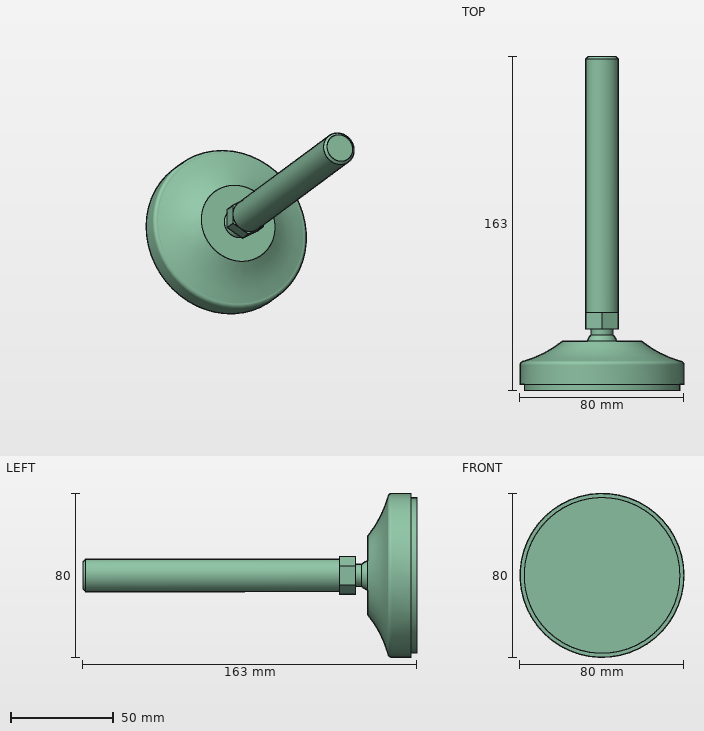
import cadquery as cq
import math

total_length = 163.0

pad_diameter = 76.0
pad_height = 3.0
plate_diameter = 80.0
rim_top = 12.4
rim_rounding = 2.0
plate_top = 24.1
crown_diameter = 38.5
flank_mid_radius = 27.0
flank_mid_height = 18.9

ball_exposed_diameter = 14.5
neck_diameter = 11.0
neck_start = 27.0

hex_start = 30.0
hex_length = 8.0
spindle_diameter = 16.0
spindle_chamfer = 1.3

pad_radius = pad_diameter / 2
plate_radius = plate_diameter / 2
crown_radius = crown_diameter / 2
neck_radius = neck_diameter / 2
ball_exposed_radius = ball_exposed_diameter / 2
hex_end = hex_start + hex_length

ball_center = (
    neck_start**2 + neck_radius**2 - plate_top**2 - ball_exposed_radius**2
) / (2 * (neck_start - plate_top))
ball_radius = math.hypot(neck_radius, neck_start - ball_center)


def make_foot():
    """Revolve the pad, the hollow-flanked plate, the ball cap and the neck."""
    diagonal = rim_rounding * math.cos(math.radians(45))
    rounding_center = (plate_radius - rim_rounding, rim_top)
    rounding_mid = (rounding_center[0] + diagonal, rounding_center[1] + diagonal)
    rounding_end = (rounding_center[0], rim_top + rim_rounding)

    ball_angle = (
        math.atan2(plate_top - ball_center, ball_exposed_radius)
        + math.atan2(neck_start - ball_center, neck_radius)
    ) / 2
    ball_mid = (
        ball_radius * math.cos(ball_angle),
        ball_center + ball_radius * math.sin(ball_angle),
    )
    return (
        cq.Workplane("XY")
        .lineTo(pad_radius, 0)
        .lineTo(pad_radius, pad_height)
        .lineTo(plate_radius, pad_height)
        .lineTo(plate_radius, rim_top)
        .threePointArc(rounding_mid, rounding_end)
        .threePointArc((flank_mid_radius, flank_mid_height), (crown_radius, plate_top))
        .lineTo(ball_exposed_radius, plate_top)
        .threePointArc(ball_mid, (neck_radius, neck_start))
        .lineTo(neck_radius, hex_start)
        .lineTo(0, hex_start)
        .close()
        .revolve(360, (0, 0, 0), (0, 1, 0))
    )


def make_hexagon():
    """Wrench hexagon with flats facing X; its flats match the spindle diameter."""
    corner_diameter = spindle_diameter / math.cos(math.radians(30))
    return (
        cq.Workplane("XZ", origin=(0, hex_start, 0))
        .transformed(rotate=(0, 0, 90))
        .polygon(6, corner_diameter)
        .extrude(-hex_length)
    )


def make_spindle():
    """Plain round spindle with a chamfered free end."""
    return (
        cq.Workplane("XZ", origin=(0, hex_end, 0))
        .circle(spindle_diameter / 2)
        .extrude(hex_end - total_length)
        .faces(">Y")
        .chamfer(spindle_chamfer)
    )


result = make_foot().union(make_hexagon()).union(make_spindle())